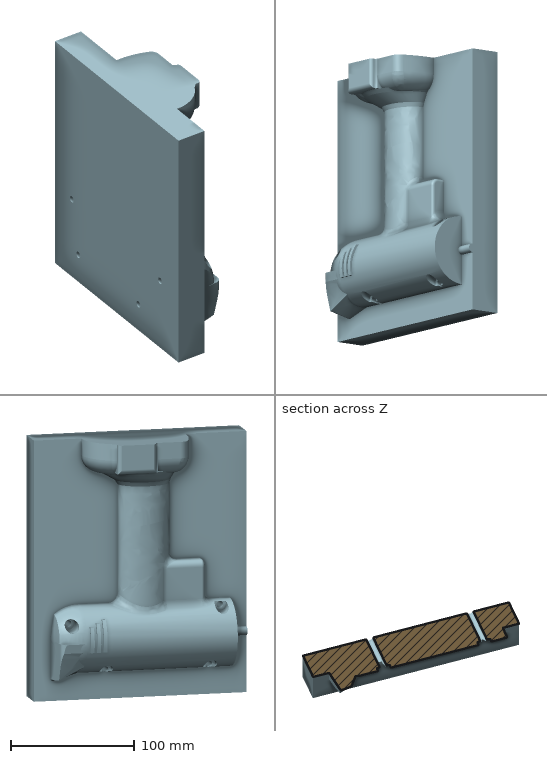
import cadquery as cq

plate_width = 177.7
plate_thickness = 25.5
plate_height = 216.0

motor_radius = 28.0
motor_axis_z = 51.0
motor_left = 14.0
motor_right = 139.7
stub_radius = 3.7

cap_end = 163.9
cap_bend_x = 152.0
cap_bend_radius = 26.0
cap_rim_x = 161.0
cap_rim_radius = 20.5
cap_bulge_x = 162.8
cap_bulge_radius = 10.8

chin_shoulder_x = 156.7
chin_bend = (159.8, 26.3)
chin_rim = (161.3, 22.5)
chin_tangent = (27.0, 43.6)
chin_corner = (20.3, 19.5)
chin_bottom_z = 15.8
chin_rounding = 2.2

rib_height = 2.0
rib_width = 3.0
rib_pitch = 5.5
rib_count = 3
first_rib_x = 123.3
rib_bottom_z = 43.6
first_rib_top_z = 69.7
rib_top_step = 2.5

handle_x = 86.4
handle_half_width = 21.5
handle_depth = 16.5

trigger_left = 37.5
trigger_depth = 11.9
trigger_top = 113.1
trigger_rounding = 5.6
trigger_side_rounding = 2.4
trigger_root_radius = 7.8
trigger_top_radius = 6.0
margin = 0.2

foot_left = 51.2
foot_right = 138.2
foot_bottom = 188.5
foot_depth = 33.5
foot_rounding = 13.8
foot_left_middle = (52.2, 16.0)
foot_left_top = (55.7, 28.3)
foot_corner_middle = (58.3, 32.0)
foot_corner_end_x = 63.0
foot_right_top = (120.3, 29.5)
foot_right_middle = (133.2, 18.0)

pad_left = 82.3
pad_right = 116.4
pad_depth = 38.6
pad_bottom = 191.5
pad_rounding = 4.0
pad_flank_foot = (84.0, 34.5)
pad_flank_middle = (84.5, 35.8)
pad_flank_shoulder = (85.5, 38.0)
pad_top_left_x = 88.0
pad_top_right_x = 112.5
pad_right_shoulder = (115.3, 37.8)
pad_right_y = 35.5

neck_sections = [
    (177.0, handle_half_width, handle_depth, handle_x),
    (180.7, 23.3, 18.0, 87.0),
    (foot_bottom, 32.0, 29.4, 91.8),
    (191.5, 35.5, 32.8, 92.5),
]

screw_places = [(24.2, 75.1), (151.1, 65.0), (33.5, 26.1), (120.0, 25.3)]
screw_hole_radius = 2.8
counterbore_radius = 5.5
counterbore_floor = 8.0


def x_cylinder(radius, start, end):
    """Cylinder about the motor axis between two X positions."""
    plane = cq.Workplane("YZ", origin=(start, 0, motor_axis_z))
    return plane.circle(radius).extrude(end - start)


def y_cylinder(place, radius, start, end):
    """Cylinder along Y at an (X, Z) place."""
    x, z = place
    return cq.Workplane("XZ", origin=(x, start, z)).circle(radius).extrude(start - end)


def z_block(x_range, y_range, z_range):
    """Box spanning the three given ranges."""
    ranges = (x_range, y_range, z_range)
    sizes = [high - low for low, high in ranges]
    corner = tuple(low for low, high in ranges)
    return cq.Workplane("XY").box(*sizes, centered=False).translate(corner)


def make_cap():
    """Domed end, turned about the motor axis."""
    return (
        cq.Workplane("XY", origin=(0, 0, motor_axis_z))
        .moveTo(motor_right, 0)
        .lineTo(motor_right, motor_radius)
        .threePointArc((cap_bend_x, cap_bend_radius), (cap_rim_x, cap_rim_radius))
        .threePointArc((cap_bulge_x, cap_bulge_radius), (cap_end, 0))
        .close()
        .revolve(360, (0, 0, 0), (1, 0, 0))
    )


def make_chin():
    """Wedge flaring from the round motor to a straight-sided chin."""
    diagonal = motor_radius * 0.5 ** 0.5
    circle_end = (
        cq.Workplane("YZ", origin=(motor_right, 0, 0))
        .moveTo(0, motor_axis_z)
        .lineTo(motor_radius, motor_axis_z)
        .lineTo(*chin_tangent)
        .lineTo(diagonal, motor_axis_z - diagonal)
        .lineTo(0, motor_axis_z - motor_radius)
        .close()
    )
    wedge = (
        circle_end.workplane(offset=cap_end - motor_right)
        .moveTo(0, motor_axis_z)
        .lineTo(motor_radius, motor_axis_z)
        .lineTo(*chin_tangent)
        .lineTo(*chin_corner)
        .lineTo(0, chin_bottom_z)
        .close()
        .loft(ruled=True)
    )
    wedge = wedge.faces(">X").edges("<Z").fillet(chin_rounding)
    rounded_end = (
        cq.Workplane("XY")
        .moveTo(motor_right, 0)
        .lineTo(motor_right, motor_radius)
        .lineTo(chin_shoulder_x, motor_radius)
        .threePointArc(chin_bend, chin_rim)
        .threePointArc((cap_bulge_x, cap_bulge_radius), (cap_end, 0))
        .close()
        .extrude(motor_axis_z)
    )
    return wedge.intersect(rounded_end)


def make_rib(index):
    """Raised band around part of the motor."""
    left = first_rib_x + index * rib_pitch
    right = left + rib_width
    outer = motor_radius + rib_height
    top = first_rib_top_z - index * rib_top_step
    band = x_cylinder(outer, left, right)
    return band.intersect(z_block((left, right), (0, outer), (rib_bottom_z, top)))


def make_handle():
    """Elliptical bar from the motor axis up to the neck."""
    length = neck_sections[0][0] - motor_axis_z
    plane = cq.Workplane("XY", origin=(handle_x, 0, motor_axis_z))
    return plane.ellipse(handle_half_width, handle_depth).extrude(length)


def make_neck():
    """Concave flare from the handle into the foot."""
    wires = []
    for z, half_width, depth, x in neck_sections:
        section = cq.Workplane("XY", origin=(x, 0, z)).ellipse(half_width, depth)
        wires.append(section.wires().val())
    return cq.Workplane(cq.Solid.makeLoft(wires, True))


def make_trigger():
    """Block reaching from the motor axis into the handle, with eased outer edges."""
    block = z_block((trigger_left, handle_x), (0, trigger_depth), (motor_axis_z, trigger_top))
    block = block.edges(">Y and >Z").fillet(trigger_rounding)
    return block.edges("<X and >Y").fillet(trigger_side_rounding)


def make_foot():
    """Battery foot with a raised pad, both reaching the top of the plate."""
    body = (
        cq.Workplane("XY", origin=(0, 0, foot_bottom))
        .moveTo(foot_left, 0)
        .threePointArc(foot_left_middle, foot_left_top)
        .threePointArc(foot_corner_middle, (foot_corner_end_x, foot_depth))
        .lineTo(pad_right, foot_depth)
        .lineTo(*foot_right_top)
        .threePointArc(foot_right_middle, (foot_right, 0))
        .close()
        .extrude(plate_height - foot_bottom)
    )
    body = body.faces("<Z").edges("not <Y").fillet(foot_rounding)
    pad = (
        cq.Workplane("XY", origin=(0, 0, pad_bottom))
        .moveTo(pad_left, 0)
        .lineTo(pad_left, foot_depth)
        .threePointArc(pad_flank_foot, pad_flank_middle)
        .threePointArc(pad_flank_shoulder, (pad_top_left_x, pad_depth))
        .lineTo(pad_top_right_x, pad_depth)
        .threePointArc(pad_right_shoulder, (pad_right, pad_right_y))
        .lineTo(pad_right, 0)
        .close()
        .extrude(plate_height - pad_bottom)
    )
    rounded_bar = z_block((pad_left, pad_right), (0, pad_depth), (pad_bottom, plate_height))
    rounded_bar = rounded_bar.edges("<Z and >Y").fillet(pad_rounding)
    return body.union(pad.intersect(rounded_bar))


def blend_trigger(grip):
    """Fillet the trigger into the handle and into the motor below it."""
    motor_top = motor_axis_z + motor_radius
    handle_left = handle_x - handle_half_width
    outer_y = trigger_depth + margin
    handle_seam = cq.selectors.BoxSelector(
        (handle_left - margin, margin, motor_top + margin),
        (handle_x, outer_y, trigger_top + margin),
    )
    motor_seam = cq.selectors.BoxSelector(
        (trigger_left - margin, -margin, motor_top - trigger_depth),
        (handle_left, outer_y, motor_top + margin),
    )
    grip = grip.edges(handle_seam).fillet(trigger_top_radius)
    return grip.edges(motor_seam).fillet(trigger_root_radius)


def drill_screws(body):
    """Cut the counterbored screw holes right through body and plate."""
    for place in screw_places:
        body = body.cut(y_cylinder(place, screw_hole_radius, -plate_thickness, pad_depth))
        body = body.cut(y_cylinder(place, counterbore_radius, counterbore_floor, pad_depth))
    return body


plate = z_block((0, plate_width), (-plate_thickness, 0), (0, plate_height))
motor = x_cylinder(motor_radius, motor_left, motor_right)
grip = plate.union(motor).union(make_handle()).union(make_trigger())
body = blend_trigger(grip)

body = body.union(x_cylinder(stub_radius, 0, motor_left))
for part in (make_cap(), make_chin(), make_neck(), make_foot()):
    body = body.union(part)
for index in range(rib_count):
    body = body.union(make_rib(index))

envelope = z_block((0, plate_width), (-plate_thickness, pad_depth), (0, plate_height))
body = body.intersect(envelope)

result = drill_screws(body)